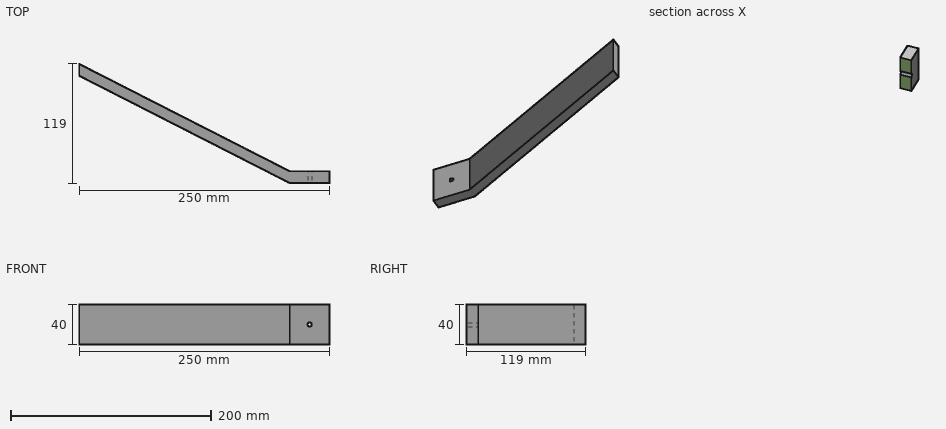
import cadquery as cq

total_length = 250.0
total_depth = 119.0
height = 40.0

tab_length = 40.0
wall_depth = 12.0
hole_diameter = 4.0

bend_x = total_length - tab_length
arm_rise = total_depth - wall_depth


def bent_bar():
    """Sloping arm and flat tab, both with the same thickness along Y."""
    outline = [
        (0, arm_rise),
        (bend_x, 0),
        (total_length, 0),
        (total_length, wall_depth),
        (bend_x, wall_depth),
        (0, total_depth),
    ]
    return cq.Workplane("XY").polyline(outline).close().extrude(height)


def tab_hole():
    """Cylinder along Y through the centre of the tab."""
    return (
        cq.Workplane("XZ")
        .center(bend_x + tab_length / 2, height / 2)
        .circle(hole_diameter / 2)
        .extrude(-wall_depth)
    )


result = bent_bar().cut(tab_hole())